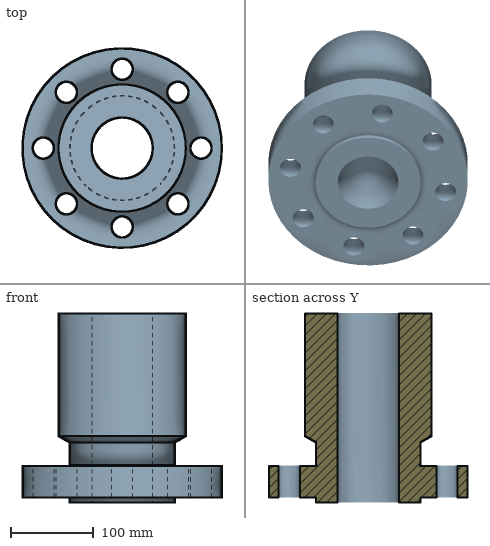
import cadquery as cq

flange_diameter = 241.2
flange_thickness = 38.0

face_height = 6.3
neck_diameter = 127.1
neck_height = 28.5

undercut_height = 1.5
undercut_depth = 0.7

body_diameter = 154.0
overall_height = 228.7
taper_height = 7.7

bore_diameter = 73.5
bolt_count = 8
bolt_circle_diameter = 190.5
bolt_hole_diameter = 25.3

flange_top = face_height + flange_thickness
neck_top = flange_top + neck_height
taper_top = neck_top + taper_height


def make_turned_body():
    """Revolve the stepped outer profile and the through bore about Z."""
    bore_radius = bore_diameter / 2
    flange_radius = flange_diameter / 2
    neck_radius = neck_diameter / 2
    body_radius = body_diameter / 2
    profile = [
        (bore_radius, 0),
        (neck_radius, 0),
        (neck_radius, face_height),
        (flange_radius, face_height),
        (flange_radius, flange_top),
        (neck_radius - undercut_depth, flange_top),
        (neck_radius, flange_top + undercut_height),
        (neck_radius, neck_top),
        (body_radius, taper_top),
        (body_radius, overall_height),
        (bore_radius, overall_height),
    ]
    return cq.Workplane("XZ").polyline(profile).close().revolve(360, (0, 0, 0), (0, 1, 0))


def make_bolt_holes():
    """Cylinders through the flange, evenly spaced with one on the X axis."""
    return (
        cq.Workplane("XY")
        .polarArray(bolt_circle_diameter / 2, 0, 360, bolt_count)
        .circle(bolt_hole_diameter / 2)
        .extrude(flange_top)
    )


result = make_turned_body().cut(make_bolt_holes())